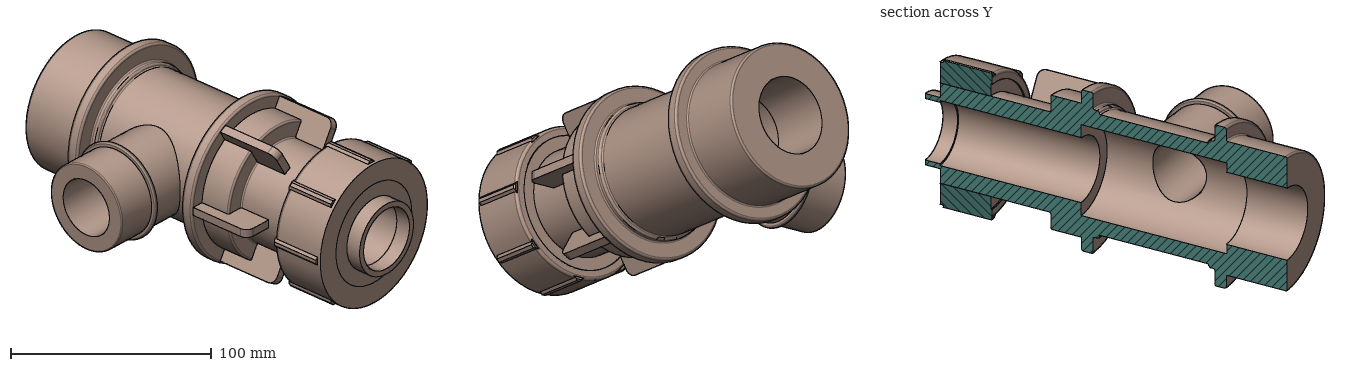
import cadquery as cq
import math


pipe_dia = 75.0
branch_dia = 47.8
nut_dia = 82.0
tail_dia = 40.0

flange_dia = 1.20 * pipe_dia
collar_dia = 0.95 * pipe_dia
tube_dia = 0.90 * pipe_dia
neck_dia = 0.75 * pipe_dia
branch_bore_dia = 0.65 * branch_dia
branch_ring_dia = 1.10 * branch_dia
nut_body_dia = 0.97 * nut_dia
nut_recess_dia = 0.85 * nut_dia
tail_bore_dia = 0.85 * tail_dia

socket_bore_dia = 40.0
tube_bore_dia = 50.4
neck_bore_dia = 36.0

collar_length = 3.6
flange_width = 6.9
flange_outer = 41.9
socket_length = 35.1
shoulder_length = 17.8
wing_end = 78.2
nut_start = 93.3
nut_length = 30.2
nut_recess_depth = 0.8
tail_end = 132.0

flange_inner = flange_outer - flange_width
collar_end = flange_inner - collar_length
socket_end = flange_outer + socket_length
shoulder_end = flange_outer + shoulder_length
nut_end = nut_start + nut_length

branch_ring_start = 52.7
branch_ring_width = 2.2
branch_end = 77.0

wing_count = 6
wing_tip_radius = 44.0
wing_thickness = 4.5
wing_corner_radius = 4.5
rib_count = 8
rib_top_width = 2.0
rib_flank_angle = 45.0
rib_end_chamfer = 0.7
rib_end_gap = 1.8

flange_round = 1.2
root_round = 0.7
collar_round = 1.2
socket_round = 1.0
shoulder_round = 1.0
nut_round = 1.5
branch_ring_round = 0.8
branch_end_round = 0.6

selection_margin = 0.1


def cylinder_x(diameter, start, end):
    return cq.Workplane("YZ", origin=(start, 0, 0)).circle(diameter / 2).extrude(end - start)


def cylinder_minus_y(diameter, start, end):
    return cq.Workplane("XZ", origin=(0, -start, 0)).circle(diameter / 2).extrude(end - start)


def around_x(shape, count, index):
    return shape.rotate((0, 0, 0), (1, 0, 0), 360.0 * index / count)


def disc_box(x, radius):
    """Selector for everything that lies in the plane at x within this radius of the axis."""
    low = (x - selection_margin, -radius, -radius)
    high = (x + selection_margin, radius, radius)
    return cq.selectors.BoxSelector(low, high, boundingbox=True)


def edge_at(x, diameter):
    """Selector for the circular edge of this diameter in the plane at x."""
    radius = diameter / 2
    return disc_box(x, radius + selection_margin) - disc_box(x, radius - selection_margin)


def flange_with_collar(end_sign):
    """Rounded flange with its collar on the inner side; end_sign is -1 or 1 for the end of the tee."""
    inner = end_sign * flange_inner
    collar_tip = end_sign * collar_end
    flange = cylinder_x(flange_dia, inner, end_sign * flange_outer).edges().fillet(flange_round)
    collar = cylinder_x(collar_dia, collar_tip, inner)
    collar = collar.edges(edge_at(collar_tip, collar_dia)).fillet(collar_round)
    return flange.union(collar)


def outer_run():
    """Solid outside of the run: socket, both flanges, tube, shoulder, neck and tail."""
    socket = cylinder_x(pipe_dia, -socket_end, -flange_outer).faces("<X").edges().fillet(socket_round)
    shoulder = cylinder_x(pipe_dia, flange_outer, shoulder_end).faces(">X").edges().fillet(shoulder_round)
    body = cylinder_x(tube_dia, -flange_outer, flange_outer)
    body = body.union(flange_with_collar(-1)).union(flange_with_collar(1))
    body = body.union(socket).union(shoulder)
    body = body.union(cylinder_x(neck_dia, shoulder_end, nut_end))
    body = body.union(cylinder_x(tail_dia, nut_end, tail_end))
    root_edges = [
        (-flange_outer, pipe_dia),
        (-flange_inner, collar_dia),
        (-collar_end, tube_dia),
        (collar_end, tube_dia),
        (flange_inner, collar_dia),
        (shoulder_end, neck_dia),
    ]
    for x, diameter in root_edges:
        body = body.edges(edge_at(x, diameter)).fillet(root_round)
    return body


def branch():
    """Solid branch pipe with its rounded ring."""
    ring_end = branch_ring_start + branch_ring_width
    ring = cylinder_minus_y(branch_ring_dia, branch_ring_start, ring_end)
    ring = ring.edges().fillet(branch_ring_round)
    pipe = cylinder_minus_y(branch_dia, 0, branch_end).faces("<Y").edges().fillet(branch_end_round)
    return pipe.union(ring)


def make_housing():
    body = outer_run().union(branch())
    body = body.cut(cylinder_x(socket_bore_dia, -socket_end, -flange_outer))
    body = body.cut(cylinder_x(tube_bore_dia, -flange_outer, flange_outer))
    body = body.cut(cylinder_x(neck_bore_dia, flange_outer, nut_end))
    body = body.cut(cylinder_x(tail_bore_dia, nut_end, tail_end))
    return body.cut(cylinder_minus_y(branch_bore_dia, 0, branch_end))


def make_wing(index, housing):
    """One radial wing, seated on the shoulder, the neck and the flange of the housing."""
    start = flange_outer - flange_round
    root_radius = (neck_dia + tube_bore_dia) / 4
    height = wing_tip_radius - root_radius
    wing = cq.Workplane("XY").box(wing_end - start, height, wing_thickness, centered=(False, False, True))
    wing = wing.translate((start, -wing_tip_radius, 0))
    wing = wing.edges(">X and <Y").fillet(wing_corner_radius)
    return around_x(wing, wing_count, index).cut(housing)


def make_rib():
    """One grip rib on the top of the nut: sloping flanks and a chamfered front end."""
    top = nut_dia / 2
    root = nut_body_dia / 2 - nut_round / 2
    half_top = rib_top_width / 2
    half_root = half_top + (top - root) * math.tan(math.radians(rib_flank_angle))
    section = [(-half_root, root), (half_root, root), (half_top, top), (-half_top, top)]
    start_plane = cq.Workplane("YZ", origin=(nut_start, 0, 0))
    rib = start_plane.polyline(section).close().extrude(nut_length - rib_end_gap)
    return rib.edges("<X and >Z").chamfer(rib_end_chamfer)


def make_nut():
    body = cylinder_x(nut_body_dia, nut_start, nut_end).faces("<X").edges().fillet(nut_round)
    for index in range(rib_count):
        body = body.union(around_x(make_rib(), rib_count, index))
    body = body.cut(cylinder_x(nut_recess_dia, nut_start, nut_start + nut_recess_depth))
    return body.cut(cylinder_x(neck_dia, nut_start, nut_end))


housing = make_housing()
wings = [make_wing(index, housing) for index in range(wing_count)]
nut = make_nut()

result = cq.Compound.makeCompound([
    housing.val(),
    *[wing.val() for wing in wings],
    nut.val(),
])